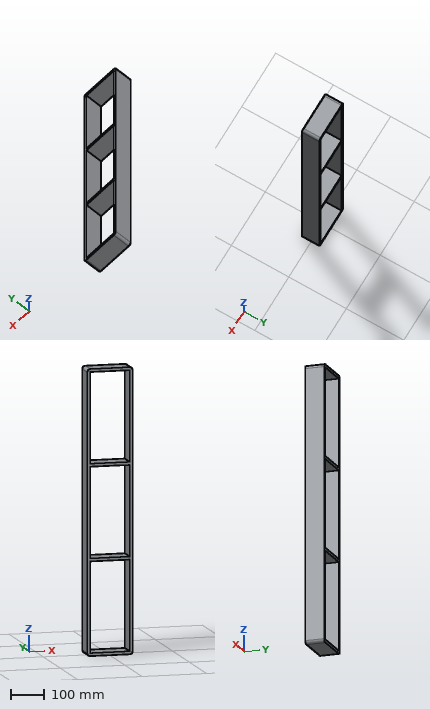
import cadquery as cq

width = 141.0
depth = 60.0
height = 874.0

wall = 10.0
corner_radius = 10.0
opening_count = 3
opening_width = width - 2 * wall
opening_height = (height - (opening_count + 1) * wall) / opening_count
opening_pitch = opening_height + wall


def outer_block():
    """Solid block with its four long corners rounded along Y."""
    return cq.Workplane("XY").box(width, depth, height).edges("|Y").fillet(corner_radius)


def openings():
    """Square-cornered openings through the depth, stacked evenly along Z."""
    return (
        cq.Workplane("XZ")
        .rarray(9, opening_pitch, 1, opening_count)
        .rect(opening_width, opening_height)
        .extrude(depth, both=True)
    )


result = outer_block().cut(openings())